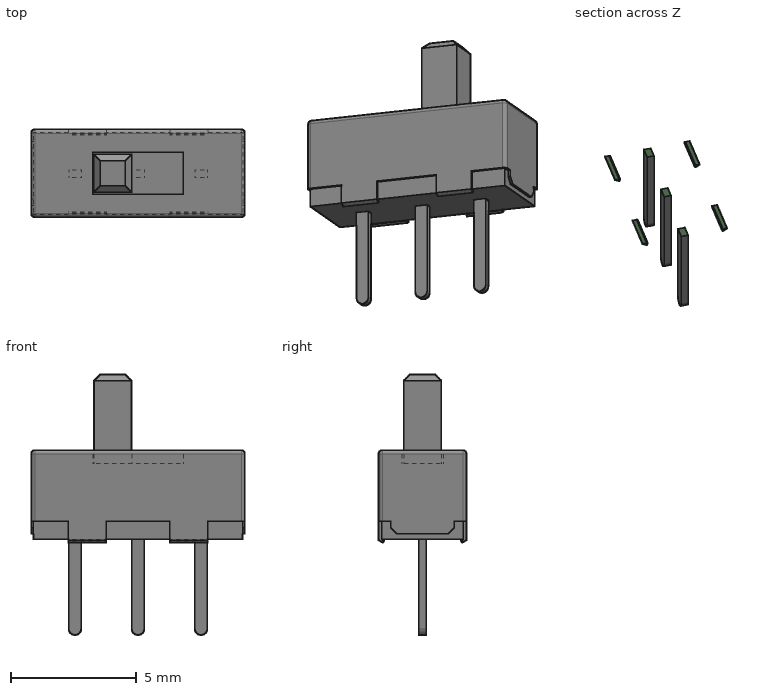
import cadquery as cq
import math

total_height = 10.35
housing_top = 7.35
skirt_bottom = 4.51
end_tab_bottom = 4.02
base_bottom = 3.8
side_tab_bend = 3.77

housing_length = 8.5
housing_width = 3.5
end_wall = 0.09
side_wall = 0.12
housing_fillet = 0.16

side_tab_width = 1.5
side_tab_offset = 2.02
side_tab_angle = 30.0
side_tab_lip = 0.21
side_tab_lip_thickness = 0.09
end_tab_width = 2.53
end_tab_chamfer = 0.25

slot_length = 3.6
slot_width = 1.66
slot_depth = 0.52
slider_size = 1.5
slider_offset = -1.0
slider_chamfer = 0.25

pin_pitch = 2.5
pin_width = 0.51
pin_thickness = 0.3


def block(length, width, bottom, top):
    """Box centred on the Z axis between two heights."""
    return cq.Workplane("XY").workplane(offset=bottom).rect(length, width).extrude(top - bottom)


def make_housing():
    """Rounded cover, with the slider slot sunk into its top."""
    cover = block(housing_length, housing_width, skirt_bottom, housing_top)
    cover = cover.edges("|Z or >Z").fillet(housing_fillet)
    slot = block(slot_length, slot_width, housing_top - slot_depth, housing_top)
    return cover.cut(slot)


def make_base():
    """Insulating base nested inside the sheet-metal cover."""
    return block(housing_length - 2 * end_wall, housing_width - 2 * side_wall, base_bottom, skirt_bottom)


def make_side_tab(x):
    """Tab on the -Y side whose lower lip is bent inward beneath the base."""
    angle = math.radians(side_tab_angle)
    outer_y = -housing_width / 2
    inner_y = outer_y + side_wall
    tip_y = outer_y + side_tab_lip * math.cos(angle)
    tip_z = side_tab_bend - side_tab_lip * math.sin(angle)
    lip_y = tip_y + side_tab_lip_thickness * math.sin(angle)
    lip_z = tip_z + side_tab_lip_thickness * math.cos(angle)
    inner_z = lip_z + (lip_y - inner_y) * math.tan(angle)
    outline = [
        (outer_y, skirt_bottom),
        (outer_y, side_tab_bend),
        (tip_y, tip_z),
        (lip_y, lip_z),
        (inner_y, inner_z),
        (inner_y, skirt_bottom),
    ]
    tab = cq.Workplane("YZ").polyline(outline).close().extrude(side_tab_width / 2, both=True)
    return tab.translate((x, 0, 0))


def make_end_tabs():
    """Tabs with chamfered lower corners, one on each end of the cover."""
    tabs = block(housing_length, end_tab_width, end_tab_bottom, skirt_bottom)
    tabs = tabs.edges("|X and <Z").chamfer(end_tab_chamfer)
    inside = block(housing_length - 2 * end_wall, end_tab_width, end_tab_bottom, skirt_bottom)
    return tabs.cut(inside)


def make_slider():
    """Square actuator standing on the slot floor, with a chamfered top."""
    slider = block(slider_size, slider_size, housing_top - slot_depth, total_height)
    return slider.faces(">Z").chamfer(slider_chamfer).translate((slider_offset, 0, 0))


def make_pin(x):
    """Flat pin with a round tip at height zero."""
    radius = pin_width / 2
    pin = (
        cq.Workplane("XZ")
        .moveTo(-radius, base_bottom)
        .lineTo(-radius, radius)
        .threePointArc((0, 0), (radius, radius))
        .lineTo(radius, base_bottom)
        .close()
        .extrude(pin_thickness / 2, both=True)
    )
    return pin.translate((x, 0, 0))


result = make_housing().union(make_base()).union(make_end_tabs()).union(make_slider())

for tab_x in (-side_tab_offset, side_tab_offset):
    side_tab = make_side_tab(tab_x)
    result = result.union(side_tab).union(side_tab.mirror("XZ"))

for pin_x in (-pin_pitch, 0, pin_pitch):
    result = result.union(make_pin(pin_x))